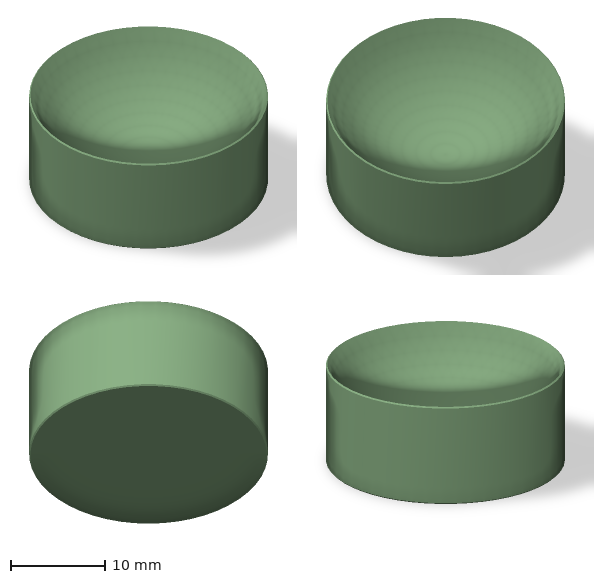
import cadquery as cq
import math

diameter = 25.4
edge_thickness = 11.08
center_thickness = 3.0
sphere_radius = 13.8

radius = diameter / 2
sphere_center_z = center_thickness + sphere_radius

rim_half_angle = math.acos((sphere_center_z - edge_thickness) / sphere_radius)
rim_radius = sphere_radius * math.sin(rim_half_angle)
edge_chamfer = radius - rim_radius


def concave_point(angle):
    """Point (radius, height) of the concave surface at an angle from the axis."""
    return (
        sphere_radius * math.sin(angle),
        sphere_center_z - sphere_radius * math.cos(angle),
    )


def make_half_section():
    """Closed lens section from the optical axis out to the cylindrical edge."""
    return (
        cq.Workplane("XZ")
        .moveTo(0, 0)
        .lineTo(rim_radius, 0)
        .lineTo(radius, edge_chamfer)
        .lineTo(radius, edge_thickness - edge_chamfer)
        .lineTo(rim_radius, edge_thickness)
        .threePointArc(concave_point(rim_half_angle / 2), (0, center_thickness))
        .close()
    )


result = make_half_section().revolve(360, (0, 0, 0), (0, 1, 0))